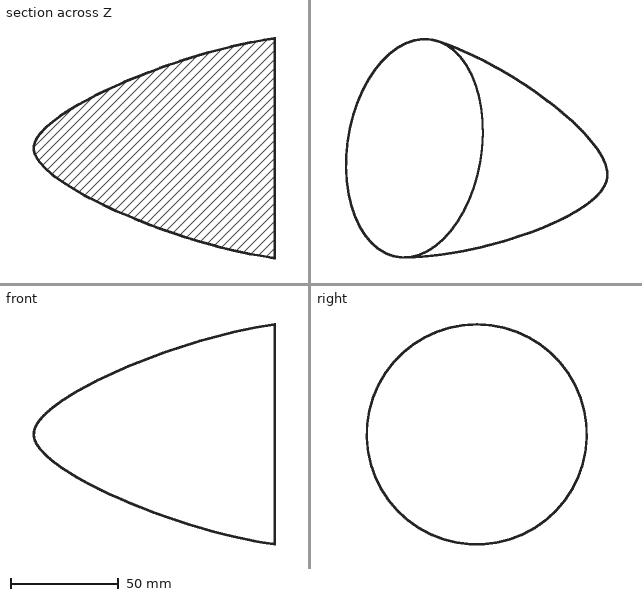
import cadquery as cq

length = 111.78
base_diameter = 102.0
base_radius = base_diameter / 2

tip_point = (0, 0)
nose_control = (0, 17.0)
flank_control = (68.0, 45.2)
base_point = (length, base_radius)


def nose_cone():
    """Solid bullet-shaped cone: tip at the origin, flat base on the +X side."""
    half_profile = (
        cq.Workplane("XZ")
        .moveTo(*tip_point)
        .bezier([tip_point, nose_control, flank_control, base_point])
        .lineTo(length, 0)
        .close()
    )
    full_turn = 360
    axis_start = (0, 0)
    axis_end = (1, 0)
    return half_profile.revolve(full_turn, axis_start, axis_end)


result = nose_cone()